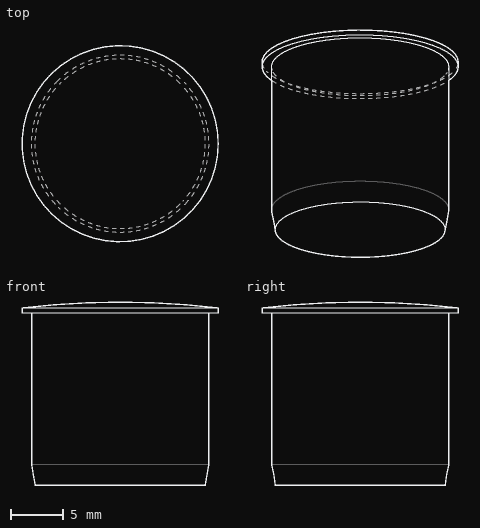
import cadquery as cq

overall_height = 17.56
head_diameter = 18.8
stem_diameter = 17.0
tip_diameter = 16.3
taper_height = 2.0
rim_thickness = 0.5
dome_height = 0.56

head_radius = head_diameter / 2
stem_radius = stem_diameter / 2
tip_radius = tip_diameter / 2
rim_top = overall_height - dome_height
rim_bottom = rim_top - rim_thickness
dome_radius = (head_radius**2 + dome_height**2) / (2 * dome_height)


def dome_z(radius):
    """Height of the spherical dome at a given distance from the axis."""
    sphere_center = overall_height - dome_radius
    return sphere_center + (dome_radius**2 - radius**2) ** 0.5


def make_plug():
    """Revolve the half section: tapered tip, straight stem, domed head."""
    half_section = (
        cq.Workplane("XZ")
        .moveTo(0, 0)
        .lineTo(tip_radius, 0)
        .lineTo(stem_radius, taper_height)
        .lineTo(stem_radius, rim_bottom)
        .lineTo(head_radius, rim_bottom)
        .lineTo(head_radius, rim_top)
        .threePointArc((head_radius / 2, dome_z(head_radius / 2)), (0, overall_height))
        .close()
    )
    return half_section.revolve(360, (0, 0, 0), (0, 1, 0))


result = make_plug()